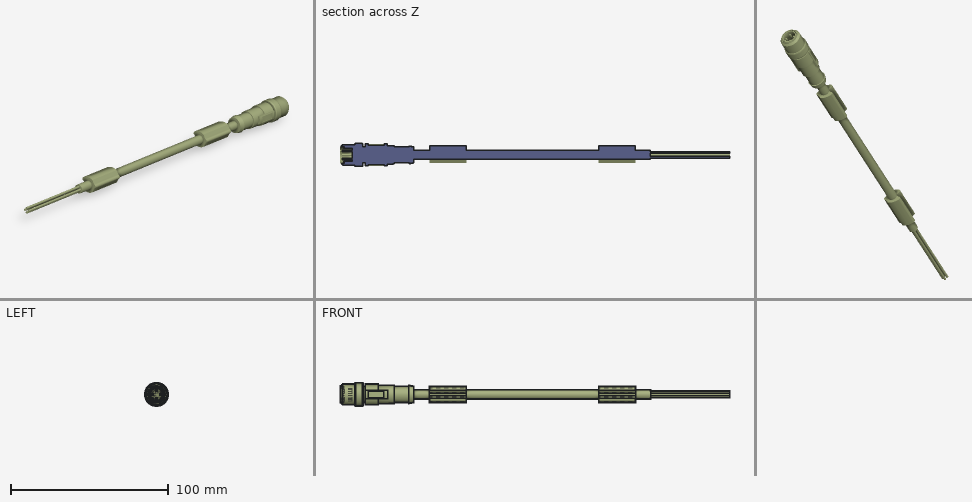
import cadquery as cq
import math

TOTAL_LENGTH = 246.8

NUT_RADIUS = 6.7
NUT_CHAMFER = 1.2
RIM_LENGTH = 0.5
RING_START = 9.1
RING_END = 14.5
RING_RADIUS = 7.5
RING_BEVEL_LENGTH = 0.7
RING_BEVEL_DEPTH = 0.2

NECK_RADIUS = 5.2
GRIP_START = 15.8
GRIP_STEP = 24.2
GRIP_END = 34.3
GRIP_FRONT_RADIUS = 6.7
GRIP_REAR_RADIUS = 6.0
TAIL_RADIUS = 5.2
COLLAR_START = 43.5
COLLAR_RADIUS = 5.8
COLLAR_END = 46.6

CABLE_RADIUS = 3.0
CABLE_END = 196.7
WIRE_RADIUS = 0.7
WIRE_OFFSET = 1.5
WIRE_COUNT = 4

PLUG_BORE_RADIUS = 4.0
PLUG_BORE_DEPTH = 7.5
PLUG_RADIUS = 4.57
PLUG_GAP_RADIUS = 5.05
PLUG_GAP_DEPTH = 2.5
PIN_RADIUS = 0.62
PIN_OFFSET = 2.6
PIN_COUNT = 4
PIN_RECESS = 1.2
KEY_RADIUS = 0.62
KEY_ANGLE = math.radians(-45)

PAD_RADIUS = 7.2
PAD_END = 30.0
PAD_WIDTH = 5.5
PAD_POCKET_START = 17.8
PAD_POCKET_END = 27.6
PAD_POCKET_WIDTH = 4.0
PAD_POCKET_FLOOR = 6.5

SLEEVE_STARTS = (56.5, 163.6)
SLEEVE_LENGTH = 23.5
CROWN_Y = -0.2
CROWN_Z = 5.2
LIP_FRONT = 5.2
LIP_BULGE_Y = -5.0
LIP_BULGE_Z = 3.7
LIP_SHOULDER_Y = -4.2
LIP_SHOULDER_Z = 4.5
MOUTH_HALF_HEIGHT = 2.6
GROOVE_FLOOR_HALF_HEIGHT = 0.7
SHOULDER_Y = 3.2
SHOULDER_Z = 4.2
BACK_CORNER_Y = 4.7
BACK_CORNER_Z = 1.5
BACK_BULGE_Y = 5.7
BACK_Y = 6.0


def rod(start, end, radius, y=0.0, z=0.0):
    """Cylinder along X from start to end, centred at (y, z)."""
    return cq.Workplane("YZ", origin=(start, y, z)).circle(radius).extrude(end - start)


def ring_positions(count, radius):
    """Points (y, z) evenly spaced on a circle around the axis, starting at +Y."""
    angles = [2 * math.pi * i / count for i in range(count)]
    return [(radius * math.cos(a), radius * math.sin(a)) for a in angles]


def make_turned_body():
    """Nut, grip and cable turned in one half profile of (x, radius) points."""
    bevel_radius = RING_RADIUS - RING_BEVEL_DEPTH
    profile = [
        (0, 0),
        (0, NUT_RADIUS - NUT_CHAMFER),
        (RIM_LENGTH, NUT_RADIUS - NUT_CHAMFER),
        (RIM_LENGTH + NUT_CHAMFER, NUT_RADIUS),
        (RING_START, NUT_RADIUS),
        (RING_START, bevel_radius),
        (RING_START + RING_BEVEL_LENGTH, RING_RADIUS),
        (RING_END - RING_BEVEL_LENGTH, RING_RADIUS),
        (RING_END, bevel_radius),
        (RING_END, NECK_RADIUS),
        (GRIP_START, NECK_RADIUS),
        (GRIP_START, GRIP_FRONT_RADIUS),
        (GRIP_STEP, GRIP_FRONT_RADIUS),
        (GRIP_STEP, GRIP_REAR_RADIUS),
        (GRIP_END, GRIP_REAR_RADIUS),
        (GRIP_END, TAIL_RADIUS),
        (COLLAR_START, TAIL_RADIUS),
        (COLLAR_START, COLLAR_RADIUS),
        (COLLAR_END, TAIL_RADIUS),
        (COLLAR_END, CABLE_RADIUS),
        (CABLE_END, CABLE_RADIUS),
        (CABLE_END, 0),
    ]
    return cq.Workplane("XY").polyline(profile).close().revolve(360, (0, 0, 0), (1, 0, 0))


def make_pads():
    """Two raised pads, on -Y and +Y."""
    slab = cq.Workplane("XY").box(PAD_END - GRIP_START, 2 * PAD_RADIUS, PAD_WIDTH)
    slab_centre = ((GRIP_START + PAD_END) / 2, 0, 0)
    return rod(GRIP_START, PAD_END, PAD_RADIUS).intersect(slab.translate(slab_centre))


def make_pad_pockets():
    """Flat-bottomed pockets sunk into the two pads."""
    length = PAD_POCKET_END - PAD_POCKET_START
    depth = PAD_RADIUS - PAD_POCKET_FLOOR
    centres = [
        (PAD_POCKET_START + length / 2, side * (PAD_POCKET_FLOOR + depth / 2), 0)
        for side in (-1, 1)
    ]
    return cq.Workplane("XY").pushPoints(centres).box(length, depth, PAD_POCKET_WIDTH)


def make_plug_cut():
    """Space inside the plug tube, less its pins and key, plus the gap around the tube."""
    bore = rod(0, PLUG_BORE_DEPTH, PLUG_BORE_RADIUS)
    for y, z in ring_positions(PIN_COUNT, PIN_OFFSET):
        bore = bore.cut(rod(PIN_RECESS, PLUG_BORE_DEPTH, PIN_RADIUS, y, z))
    key_y = PLUG_BORE_RADIUS * math.cos(KEY_ANGLE)
    key_z = PLUG_BORE_RADIUS * math.sin(KEY_ANGLE)
    bore = bore.cut(rod(0, PLUG_BORE_DEPTH, KEY_RADIUS, key_y, key_z))
    gap = rod(0, PLUG_GAP_DEPTH, PLUG_GAP_RADIUS).cut(rod(0, PLUG_GAP_DEPTH, PLUG_RADIUS))
    return bore.union(gap)


def crown_arc_middle(end_y, end_z):
    """A point halfway across the arc that leaves the crown level and ends at (end_y, end_z)."""
    run = end_y - CROWN_Y
    drop = CROWN_Z - end_z
    radius = (run**2 + drop**2) / (2 * drop)
    middle_drop = radius - math.sqrt(radius**2 - (run / 2) ** 2)
    return (CROWN_Y + run / 2, CROWN_Z - middle_drop)


def make_sleeve(start):
    """Marker sleeve: a V groove opens to -Y and a rounded rib runs along +Y."""
    upper_half = (
        cq.Workplane("YZ", origin=(start, 0, 0))
        .moveTo(-CABLE_RADIUS, 0)
        .lineTo(-CABLE_RADIUS, GROOVE_FLOOR_HALF_HEIGHT)
        .lineTo(-LIP_FRONT, MOUTH_HALF_HEIGHT)
        .threePointArc((LIP_BULGE_Y, LIP_BULGE_Z), (LIP_SHOULDER_Y, LIP_SHOULDER_Z))
        .threePointArc(crown_arc_middle(LIP_SHOULDER_Y, LIP_SHOULDER_Z), (CROWN_Y, CROWN_Z))
        .threePointArc(crown_arc_middle(SHOULDER_Y, SHOULDER_Z), (SHOULDER_Y, SHOULDER_Z))
        .lineTo(BACK_CORNER_Y, BACK_CORNER_Z)
        .threePointArc((BACK_BULGE_Y, BACK_CORNER_Z / 2), (BACK_Y, 0))
        .close()
        .extrude(SLEEVE_LENGTH)
    )
    return upper_half.union(upper_half.mirror("XY"))


result = make_turned_body().union(make_pads())
result = result.cut(make_pad_pockets()).cut(make_plug_cut())
for sleeve_start in SLEEVE_STARTS:
    result = result.union(make_sleeve(sleeve_start))
for wire_y, wire_z in ring_positions(WIRE_COUNT, WIRE_OFFSET):
    result = result.union(rod(CABLE_END, TOTAL_LENGTH, WIRE_RADIUS, wire_y, wire_z))